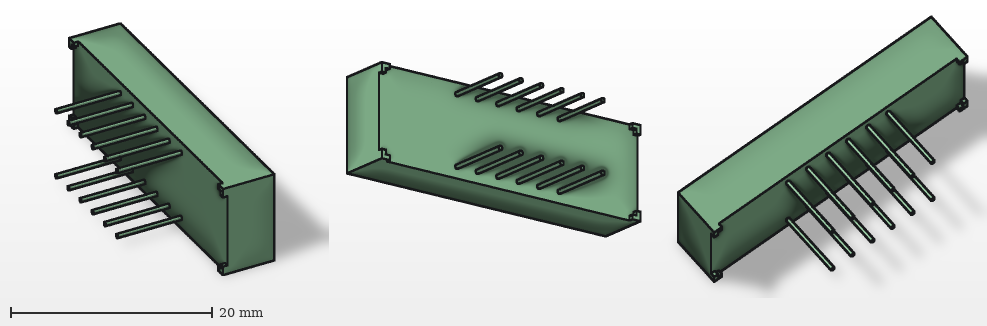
import cadquery as cq

body_length = 32.1
body_height = 10.1
body_depth = 5.3

foot_leg_length = 1.0
foot_leg_width = 0.5
foot_standoff = 0.5

pin_diameter = 0.45
pin_length = 7.2
pins_per_row = 6
pin_pitch = 2.54
row_spacing = 3 * pin_pitch


def make_body():
    """Block centred on X and Z, with its pin face on the plane Y = 0."""
    return cq.Workplane("XY").box(
        body_length, body_depth, body_height, centered=(True, False, True)
    )


def make_foot(x_side, z_side):
    """Foot in the corner given by the signs x_side and z_side, legs along the edges."""
    corner_x = x_side * body_length / 2
    corner_z = z_side * body_height / 2
    long_x = corner_x - x_side * foot_leg_length
    long_z = corner_z - z_side * foot_leg_length
    inner_x = corner_x - x_side * foot_leg_width
    inner_z = corner_z - z_side * foot_leg_width
    outline = [
        (corner_x, corner_z),
        (long_x, corner_z),
        (long_x, inner_z),
        (inner_x, inner_z),
        (inner_x, long_z),
        (corner_x, long_z),
    ]
    return cq.Workplane("XZ").polyline(outline).close().extrude(foot_standoff)


def make_pins():
    """All pins, extending from the pin face toward -Y."""
    return (
        cq.Workplane("XZ")
        .rarray(pin_pitch, row_spacing, pins_per_row, 2)
        .circle(pin_diameter / 2)
        .extrude(pin_length)
    )


result = make_body()
for x_side in (-1, 1):
    for z_side in (-1, 1):
        result = result.union(make_foot(x_side, z_side))
result = result.union(make_pins())